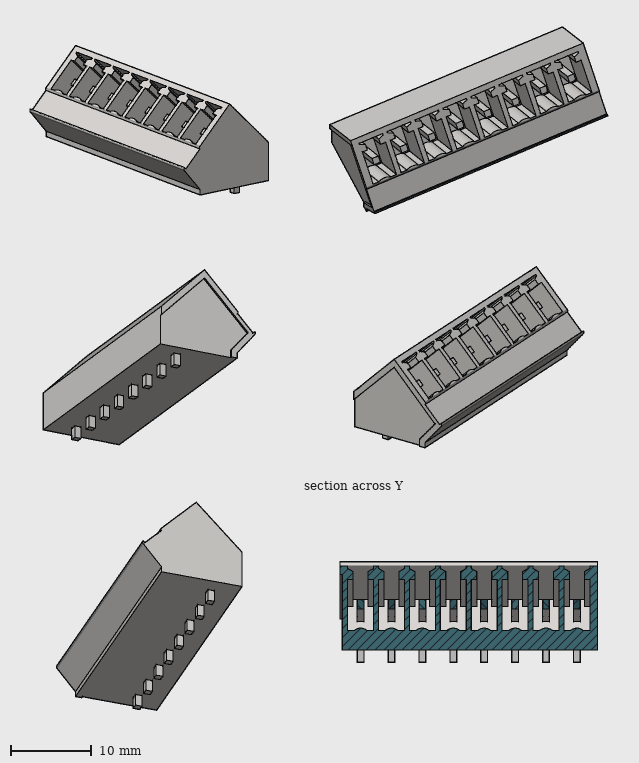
import cadquery as cq
import math


length = 31.87
poles = 8
pitch = 3.82
ridge_setback = 6.02
rear_height = 4.95
ridge_height = rear_height + ridge_setback
mating_angle = 45.5
foot_setback = 10.58
foot_height = 0.7
under_angle = 50.0
nose_radius = 0.3
nose_rise = 0.1

strip_start = 6.55
strip_sink = 0.22

panel_sink = 0.25
panel_rear_height = 3.82
panel_nose_setback = 12.08
panel_foot_setback = 9.75
panel_foot_height = 0.95

pocket_width = 3.2
pocket_depth = 5.9
pocket_top = 0.75
slot_side_end = 0.95
neck_start = 1.25
neck_end = 1.98
pocket_bottom = 6.45
neck_width = 1.82
bump_width = 1.63
bump_height = 0.22

contact_size = 0.85
contact_down_face = 4.15
contact_tip_sink = 1.25
leg_setback = 3.3
leg_length = 1.53

mating_cos = math.cos(math.radians(mating_angle))
mating_sin = math.sin(math.radians(mating_angle))
mating_slope = math.tan(math.radians(mating_angle))
under_slope = math.tan(math.radians(under_angle))

pole_positions = [(i - (poles - 1) / 2) * pitch for i in range(poles)]


def side_sketch(x):
    """Sketch plane at x: first coordinate forward from the rear wall, second upward, extruding toward -X."""
    return cq.Workplane(cq.Plane(origin=(x, 0, 0), xDir=(0, -1, 0), normal=(-1, 0, 0)))


def face_sketch(x):
    """Mating face sketch plane: origin on the ridge, second coordinate down the face, extruding inward."""
    return cq.Workplane(
        cq.Plane((x, -ridge_setback, ridge_height), xDir=(1, 0, 0), normal=(0, mating_sin, -mating_cos))
    )


def face_point(down, sink=0.0):
    """Side sketch point at a distance down the mating face and a depth below it."""
    return (
        ridge_setback + down * mating_cos - sink * mating_sin,
        ridge_height - down * mating_sin - sink * mating_cos,
    )


def make_blank():
    risen_ridge_height = ridge_height + nose_rise / mating_cos
    corner_above_foot = risen_ridge_height - foot_height - (foot_setback - ridge_setback) * mating_slope
    corner_forward = corner_above_foot / (mating_slope + under_slope)
    corner_setback = foot_setback + corner_forward
    corner_down_face = (corner_setback - ridge_setback - nose_rise * mating_sin) / mating_cos
    tangent_length = nose_radius / math.tan(math.radians((mating_angle + under_angle) / 2))
    strip_end = corner_down_face - tangent_length
    overhang_length = corner_forward / math.cos(math.radians(under_angle)) - tangent_length
    nose_underside = (
        foot_setback + overhang_length * math.cos(math.radians(under_angle)),
        foot_height + overhang_length * math.sin(math.radians(under_angle)),
    )
    half_round = math.sqrt(0.5) * strip_sink
    return (
        side_sketch(length / 2)
        .moveTo(0, 0)
        .lineTo(0, rear_height)
        .lineTo(ridge_setback, ridge_height)
        .lineTo(*face_point(strip_start))
        .threePointArc(
            face_point(strip_start + half_round, strip_sink - half_round),
            face_point(strip_start + strip_sink, strip_sink),
        )
        .lineTo(*face_point(strip_end, strip_sink))
        .lineTo(*face_point(strip_end, -nose_rise))
        .radiusArc(nose_underside, nose_radius)
        .lineTo(foot_setback, foot_height)
        .lineTo(foot_setback, 0)
        .close()
        .extrude(length)
    )


def make_end_panel():
    panel_ridge_height = panel_rear_height + ridge_setback
    panel_nose_height = panel_ridge_height - (panel_nose_setback - ridge_setback) * mating_slope
    return (
        side_sketch(panel_sink - length / 2)
        .polyline([
            (0, 0),
            (0, panel_rear_height),
            (ridge_setback, panel_ridge_height),
            (panel_nose_setback, panel_nose_height),
            (panel_foot_setback, panel_foot_height),
            (panel_foot_setback, 0),
        ])
        .close()
        .extrude(panel_sink)
    )


def make_pocket(x):
    side = pocket_width / 2
    neck = neck_width / 2
    right_edge = [
        (side, pocket_top),
        (side, slot_side_end),
        (neck, neck_start),
        (neck, neck_end),
        (side, neck_end),
        (side, pocket_bottom),
    ]
    left_edge = [(-across, down) for across, down in reversed(right_edge)]
    return (
        face_sketch(x)
        .polyline(right_edge)
        .lineTo(bump_width / 2, pocket_bottom)
        .threePointArc((0, pocket_bottom - bump_height), (-bump_width / 2, pocket_bottom))
        .polyline(left_edge, includeCurrent=True)
        .close()
        .extrude(pocket_depth)
    )


def make_contact(x):
    half = contact_size / 2
    upper_tip = face_point(contact_down_face - half, contact_tip_sink)
    lower_tip = face_point(contact_down_face + half, contact_tip_sink)
    leg_rear = leg_setback - half
    leg_front = leg_setback + half
    upper_bend = upper_tip[1] - (upper_tip[0] - leg_rear) / mating_slope
    lower_bend = lower_tip[1] - (lower_tip[0] - leg_front) / mating_slope
    return (
        side_sketch(x + half)
        .polyline([
            upper_tip,
            lower_tip,
            (leg_front, lower_bend),
            (leg_front, -leg_length),
            (leg_rear, -leg_length),
            (leg_rear, upper_bend),
        ])
        .close()
        .extrude(contact_size)
    )


contacts = [make_contact(x) for x in pole_positions]

housing = make_blank().cut(make_end_panel())
for x, contact in zip(pole_positions, contacts):
    housing = housing.cut(make_pocket(x)).cut(contact)

result = cq.Compound.makeCompound([housing.val()] + [contact.val() for contact in contacts])